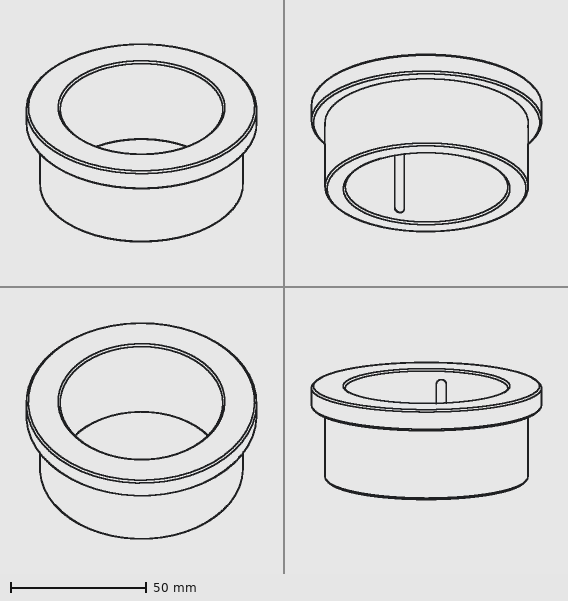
import cadquery as cq

flange_diameter = 85.0
sleeve_diameter = 75.0
bore_diameter = 60.0
total_height = 35.0
flange_thickness = 8.0
edge_chamfer = 0.8

groove_diameter = 3.7
groove_end_gap = 3.9
groove_length = total_height - 2 * groove_end_gap


def make_body():
    """Sleeve with a top flange, chamfered on its free edges."""
    sleeve = (
        cq.Workplane("XY")
        .circle(sleeve_diameter / 2)
        .extrude(total_height)
        .faces("<Z").edges().chamfer(edge_chamfer)
    )
    flange = (
        cq.Workplane("XY", origin=(0, 0, total_height - flange_thickness))
        .circle(flange_diameter / 2)
        .extrude(flange_thickness)
        .edges().chamfer(edge_chamfer)
    )
    return sleeve.union(flange)


def cut_bore(body):
    """Through bore, chamfered at both mouths."""
    bored = body.cut(cq.Workplane("XY").circle(bore_diameter / 2).extrude(total_height))
    bore_mouths = cq.selectors.RadiusNthSelector(0)
    return bored.edges(bore_mouths).chamfer(edge_chamfer)


def make_groove_cutter():
    """Vertical rod with ball ends, centred on the bore surface."""
    radius = groove_diameter / 2
    groove_bottom = groove_end_gap
    rod = (
        cq.Workplane("XY", origin=(bore_diameter / 2, 0, groove_bottom + radius))
        .circle(radius)
        .extrude(groove_length - groove_diameter)
    )
    for end_z in (groove_bottom + radius, groove_bottom + groove_length - radius):
        ball = cq.Workplane("XY").sphere(radius).translate((bore_diameter / 2, 0, end_z))
        rod = rod.union(ball)
    return rod


result = cut_bore(make_body()).cut(make_groove_cutter())